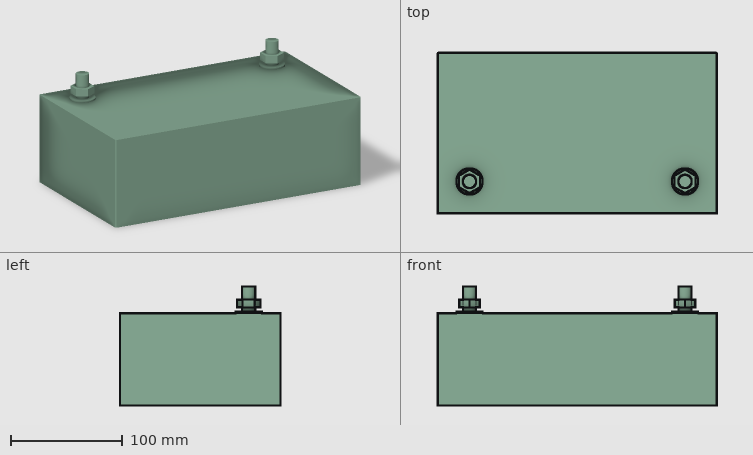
import cadquery as cq
import math

CASE_LENGTH = 250.0
CASE_DEPTH = 143.8
OVERALL_HEIGHT = 107.0
BACK_CORNER_RADIUS = 1.2

STUD_DIAMETER = 12.0
STUD_HEIGHT = 24.0
COLLAR_DIAMETER = 23.5
COLLAR_THICKNESS = 1.5
TERMINAL_INSET = 28.5

NUT_ACROSS_FLATS = 18.5
NUT_THICKNESS = 7.0
NUT_LIFT = 5.0

CASE_HEIGHT = OVERALL_HEIGHT - STUD_HEIGHT
NUT_ACROSS_CORNERS = NUT_ACROSS_FLATS / math.cos(math.pi / 6)
TERMINAL_X = CASE_LENGTH / 2 - TERMINAL_INSET
TERMINAL_Y = TERMINAL_INSET - CASE_DEPTH / 2


def make_case():
    """Plain block with its bottom on Z = 0 and rounded back vertical edges."""
    block = cq.Workplane("XY").box(CASE_LENGTH, CASE_DEPTH, CASE_HEIGHT, centered=(True, True, False))
    return block.edges("|Z and >Y").fillet(BACK_CORNER_RADIUS)


def make_stud(x):
    """Upright stud and its collar, standing on the case top."""
    base = cq.Workplane("XY", origin=(x, TERMINAL_Y, CASE_HEIGHT))
    collar = base.circle(COLLAR_DIAMETER / 2).extrude(COLLAR_THICKNESS)
    shank = base.circle(STUD_DIAMETER / 2).extrude(STUD_HEIGHT)
    return collar.union(shank)


def make_nut(x):
    """Hexagonal nut with two flats facing the case ends and a bore that fits the stud."""
    base = cq.Workplane("XY", origin=(x, TERMINAL_Y, CASE_HEIGHT + NUT_LIFT))
    hexagon = base.transformed(rotate=(0, 0, 90)).polygon(6, NUT_ACROSS_CORNERS).extrude(NUT_THICKNESS)
    bore = base.circle(STUD_DIAMETER / 2).extrude(NUT_THICKNESS)
    return hexagon.cut(bore)


case = make_case()
bodies = [case.val()]
for terminal_x in (-TERMINAL_X, TERMINAL_X):
    stud = make_stud(terminal_x)
    nut = make_nut(terminal_x)
    bodies += [stud.val(), nut.val()]

result = cq.Compound.makeCompound(bodies)